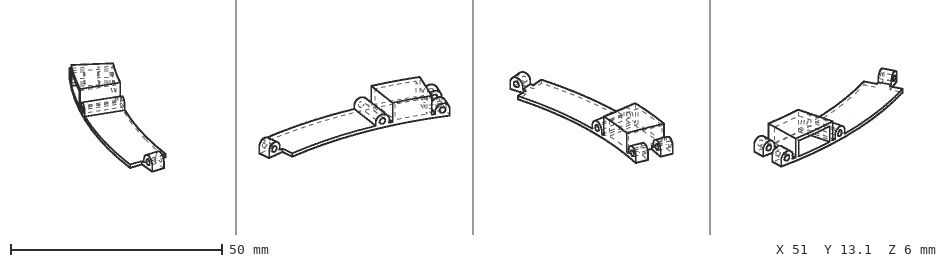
import cadquery as cq
import math

outer_radius = 100.0
plate_width = 10.0
inner_radius = outer_radius - plate_width
plate_thickness = 0.9
plate_half_span = 21.6
end_angle = 13.9
corner_y = -math.sqrt(outer_radius**2 - plate_half_span**2)

knuckle_radius = 1.8
knuckle_axis_z = 1.8
pin_hole_diameter = 1.5
knuckle_reach = 4.45
knuckle_length = plate_width / 3
rib_x = -6.7

box_height = 6.0
box_right_x = -9.35
box_wall = 0.9
box_side_wall = 1.0

margin = 5.1
tab_overlap = 0.5


def ring(height):
    """Full ring that holds every feature between its two curved faces."""
    return cq.Workplane("XY").circle(outer_radius).circle(inner_radius).extrude(height)


def block(x_min, x_max, y_min, y_max, z_min, z_max):
    size = (x_max - x_min, y_max - y_min, z_max - z_min)
    return cq.Workplane("XY").box(*size, centered=False).translate((x_min, y_min, z_min))


def place_at_right_end(shape):
    """Move a shape whose X runs out of the end face and Y runs along it, from the outer corner."""
    return shape.rotate((0, 0, 0), (0, 0, 1), end_angle).translate((plate_half_span, corner_y, 0))


def place_at_left_end(shape):
    return place_at_right_end(shape).mirror("YZ")


def arched_bar(axis_x, y_min, y_max):
    """Bar along Y with a flat base and a rounded top."""
    left = axis_x - knuckle_radius
    right = axis_x + knuckle_radius
    return (
        cq.Workplane("XZ", origin=(0, y_max, 0))
        .moveTo(left, 0)
        .lineTo(left, knuckle_axis_z)
        .threePointArc((axis_x, knuckle_axis_z + knuckle_radius), (right, knuckle_axis_z))
        .lineTo(right, 0)
        .close()
        .extrude(y_max - y_min)
    )


def pin_hole(axis_x, y_min, y_max):
    return (
        cq.Workplane("XZ", origin=(0, y_max, 0))
        .center(axis_x, knuckle_axis_z)
        .circle(pin_hole_diameter / 2)
        .extrude(y_max - y_min)
    )


def knuckle(y_min, y_max):
    """Pierced knuckle joined to the end face by a tab as thick as the plate."""
    axis_x = knuckle_reach - knuckle_radius
    tab = block(-tab_overlap, axis_x, y_min, y_max, 0, plate_thickness)
    return arched_bar(axis_x, y_min, y_max).union(tab).cut(pin_hole(axis_x, y_min, y_max))


def inside_left_end(right_x, wall, z_min, z_max):
    """Block between right_x and the left end face, the latter moved inward by wall."""
    half_block = block(-2 * plate_half_span, right_x, -outer_radius - margin, 0, z_min, z_max)
    beyond_end = block(-wall, outer_radius, -outer_radius, outer_radius, z_min, z_max)
    return half_block.cut(place_at_left_end(beyond_end))


end_waste = block(0, outer_radius, -outer_radius, outer_radius, 0, plate_thickness)
plate = ring(plate_thickness).intersect(
    block(-outer_radius, outer_radius, -outer_radius - margin, 0, 0, plate_thickness)
)
plate = plate.cut(place_at_right_end(end_waste)).cut(place_at_left_end(end_waste))

box = inside_left_end(box_right_x, 0, 0, box_height).intersect(ring(box_height))
pocket = inside_left_end(
    box_right_x - box_side_wall, box_side_wall, plate_thickness, box_height - box_wall
)
rear_wall_circle = cq.Workplane("XY").circle(inner_radius + box_wall).extrude(box_height)
box = box.cut(pocket.cut(rear_wall_circle))

rib_range = (-outer_radius - margin, -inner_radius + margin)
rib = arched_bar(rib_x, *rib_range).intersect(ring(box_height))
rib_hole = pin_hole(rib_x, *rib_range)

front_knuckle = place_at_left_end(knuckle(-margin, knuckle_length))
rear_knuckle = place_at_left_end(knuckle(2 * knuckle_length, plate_width + margin))
left_knuckles = front_knuckle.union(rear_knuckle).intersect(ring(box_height))
right_knuckle = place_at_right_end(knuckle(knuckle_length, 2 * knuckle_length))

result = plate.union(box).union(rib).cut(rib_hole).union(left_knuckles).union(right_knuckle)